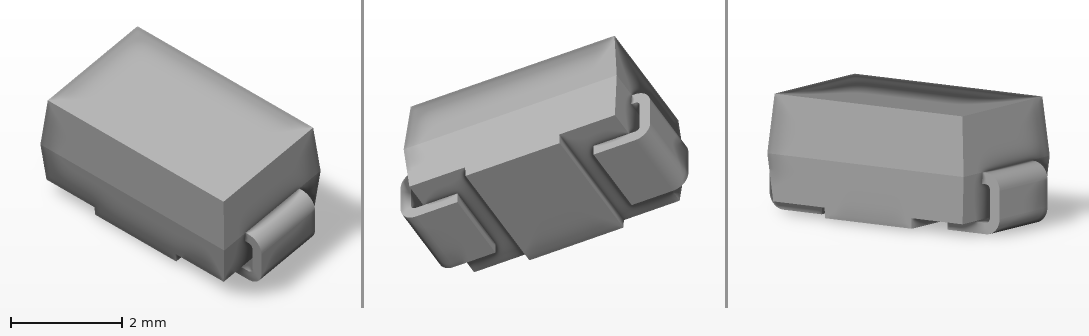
import cadquery as cq
import math

BODY_LENGTH = 4.305
BODY_WIDTH = 2.7
BODY_TOP = 2.21
PARTING_HEIGHT = 1.125
DRAFT_ANGLE = 5

STANDOFF_LENGTH = 1.9
STANDOFF_BOTTOM = 0.045
END_BOTTOM = 0.24

LEAD_SPAN = 5.04
LEAD_WIDTH = 1.5
LEAD_THICKNESS = 0.21
BEND_RADIUS = 0.3
FOOT_LENGTH = 1.145


def tapered_block(height):
    """Block on the parting plane; a negative height grows downward. Narrows away from the plane."""
    inset = abs(height) * math.tan(math.radians(DRAFT_ANGLE))
    return (
        cq.Workplane("XY", origin=(0, 0, PARTING_HEIGHT))
        .rect(BODY_LENGTH, BODY_WIDTH)
        .workplane(offset=height)
        .rect(BODY_LENGTH - 2 * inset, BODY_WIDTH - 2 * inset)
        .loft(ruled=True)
    )


def end_relief(side):
    """Volume removed beneath one end of the body, beside the standoff."""
    length = (LEAD_SPAN - STANDOFF_LENGTH) / 2
    center_x = side * (STANDOFF_LENGTH + length) / 2
    return (
        cq.Workplane("XY")
        .center(center_x, 0)
        .rect(length, BODY_WIDTH)
        .extrude(END_BOTTOM)
    )


def make_body():
    upper = tapered_block(BODY_TOP - PARTING_HEIGHT)
    lower = tapered_block(STANDOFF_BOTTOM - PARTING_HEIGHT)
    for side in (-1, 1):
        lower = lower.cut(end_relief(side))
    return upper.union(lower)


def make_left_lead():
    """C-shaped strip whose upper arm runs into the body and whose lower arm is the solder foot."""
    outer_x = -LEAD_SPAN / 2
    inner_x = outer_x + LEAD_THICKNESS
    foot_end_x = outer_x + FOOT_LENGTH
    inner_radius = BEND_RADIUS - LEAD_THICKNESS
    inner_height = PARTING_HEIGHT - 2 * LEAD_THICKNESS

    def bent_block(start_x, bottom, height, radius):
        """Block of lead width ending at the foot tip, with its two -X edges rounded."""
        return (
            cq.Workplane("XY", origin=((start_x + foot_end_x) / 2, 0, bottom))
            .rect(foot_end_x - start_x, LEAD_WIDTH)
            .extrude(height)
            .edges("<X and |Y")
            .fillet(radius)
        )

    outside = bent_block(outer_x, 0, PARTING_HEIGHT, BEND_RADIUS)
    inside = bent_block(inner_x, LEAD_THICKNESS, inner_height, inner_radius)
    return outside.cut(inside)


left_lead = make_left_lead()
right_lead = left_lead.mirror("YZ")

result = make_body().union(left_lead).union(right_lead)